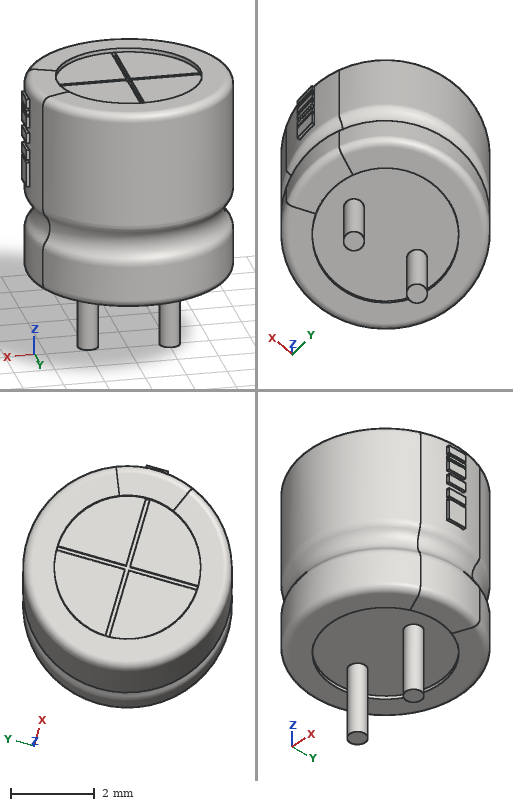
import cadquery as cq
import math


body_radius = 2.5
body_height = 5.0
long_lead_length = 2.0
body_bottom = long_lead_length
body_top = body_bottom + body_height
corner_radius = 0.2

groove_center_z = body_bottom + 1.6
groove_depth = 0.2
groove_floor_radius = 0.5
groove_lip_radius = 0.3

sleeve_thickness = 0.1
opening_radius = 1.75
stripe_angle = 45.0

score_width = 0.1
score_depth = 0.1

mark_width = 0.53
mark_height = 0.06
mark_root_depth = sleeve_thickness / 2
mark_spans = [
    (4.46, 5.08),
    (5.15, 5.405),
    (5.585, 5.84),
    (5.98, 6.27),
    (6.32, 6.42),
    (6.48, 6.71),
]

lead_diameter = 0.5
lead_pitch = 2.0
short_lead_tip = 0.105
can_bottom = body_bottom + sleeve_thickness


def arc_point(center_r, center_z, radius, degrees):
    """Point on an arc in the (radius, Z) half plane."""
    angle = math.radians(degrees)
    return (center_r + radius * math.cos(angle), center_z + radius * math.sin(angle))


def grooved_body(inset):
    """Round body with rounded rims and a crimp groove, its surface moved inward by inset."""
    side = body_radius - inset
    bottom = body_bottom + inset
    top = body_top - inset
    rim = corner_radius - inset
    lip = groove_lip_radius - inset
    floor = groove_floor_radius + inset

    center_spacing = lip + floor
    sweep = math.degrees(math.acos(1 - groove_depth / center_spacing))
    half_height = center_spacing * math.sin(math.radians(sweep))
    lip_r = side - lip
    lower_z = groove_center_z - half_height
    upper_z = groove_center_z + half_height
    rim_r = side - rim

    profile = (
        cq.Workplane("XZ")
        .moveTo(0, bottom)
        .lineTo(rim_r, bottom)
        .threePointArc(arc_point(rim_r, bottom + rim, rim, -45), (side, bottom + rim))
        .lineTo(side, lower_z)
        .threePointArc(arc_point(lip_r, lower_z, lip, sweep / 2), arc_point(lip_r, lower_z, lip, sweep))
        .threePointArc((side - groove_depth, groove_center_z), arc_point(lip_r, upper_z, lip, -sweep))
        .threePointArc(arc_point(lip_r, upper_z, lip, -sweep / 2), (side, upper_z))
        .lineTo(side, top - rim)
        .threePointArc(arc_point(rim_r, top - rim, rim, 45), (rim_r, top))
        .lineTo(0, top)
        .close()
    )
    return profile.revolve(360, (0, 0), (0, 1))


def make_can():
    """Can that fills the sleeve, with a cross scored in its top."""
    can = grooved_body(sleeve_thickness)
    can_top = body_top - sleeve_thickness
    score_length = 2 * opening_radius
    for length_x, length_y in ((score_length, score_width), (score_width, score_length)):
        score = (
            cq.Workplane("XY")
            .workplane(offset=can_top - score_depth)
            .rect(length_x, length_y)
            .extrude(score_depth)
        )
        can = can.cut(score)
    return can


def make_full_sleeve():
    """Complete sleeve shell, open in the middle at the top and bottom."""
    opening = cq.Workplane("XY").workplane(offset=body_bottom).circle(opening_radius).extrude(body_height)
    return grooved_body(0).cut(grooved_body(sleeve_thickness)).cut(opening)


def make_stripe_wedge():
    """Wedge about +X that holds the stripe."""
    reach_x = 2 * body_radius
    reach_y = reach_x * math.tan(math.radians(stripe_angle / 2))
    return (
        cq.Workplane("XY")
        .workplane(offset=body_bottom)
        .polyline([(0, 0), (reach_x, -reach_y), (reach_x, reach_y)])
        .close()
        .extrude(body_height)
    )


def make_stripe(full_sleeve, wedge):
    """Stripe cut from the sleeve shell, with the raised marks on its outside."""
    stripe = full_sleeve.intersect(wedge)
    mark_root = body_radius - mark_root_depth
    for lower_z, upper_z in mark_spans:
        mark = cq.Workplane("XY").box(
            mark_root_depth + mark_height,
            mark_width,
            upper_z - lower_z,
            centered=(False, True, False),
        )
        stripe = stripe.union(mark.translate((mark_root, 0, lower_z)))
    return stripe


def make_lead(x, tip_z):
    """Round lead from its tip up to the bottom of the can."""
    return (
        cq.Workplane("XY", origin=(x, 0, tip_z))
        .circle(lead_diameter / 2)
        .extrude(can_bottom - tip_z)
    )


full_sleeve = make_full_sleeve()
stripe_wedge = make_stripe_wedge()

can = make_can()
sleeve = full_sleeve.cut(stripe_wedge)
stripe = make_stripe(full_sleeve, stripe_wedge)
lead_places = [(-lead_pitch / 2, 0), (lead_pitch / 2, short_lead_tip)]
leads = [make_lead(x, tip_z) for x, tip_z in lead_places]

bodies = [can, sleeve, stripe, *leads]
result = cq.Compound.makeCompound([body.solids().val() for body in bodies])